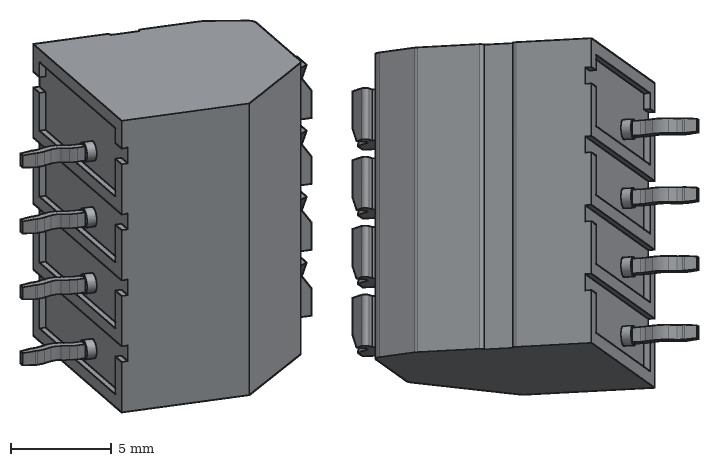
import cadquery as cq
import math

body_width = 12.0
body_depth = 11.5
body_height = 15.5
pole_count = 4
pitch = 3.5

corner_round = 0.5
left_slope_start = 9.1
left_slope_angle = 20.0
right_slope_start = 6.85
groove_round = 0.2
groove_bottom = 4.12
groove_top = 5.61

recess_depth = 0.33
rib_height = 0.68
lip_width = 0.86
cross_slot_bottom = 2.69
cross_slot_height = 0.83

latch_height = 1.6
latch_length = 2.6
latch_bottom = 0.88
latch_neck_left = 2.45
latch_right = 4.66
latch_top_left = 2.69
hook_rise = 0.51
hook_slope_angle = 15.0
hook_round = 0.22

slot_depth = 0.7
slot_floor_left = 4.5
slot_floor_width = 0.3
slot_left_run = 0.48
slot_right_run = 0.66
slot_skew_angle = 34.8

pin_x = 7.29
pin_length = 3.5
pin_thickness = 0.45
pin_width = 0.75
collar_diameter = 1.0
collar_length = 0.18
bend_radius = 1.0
bend_angle = 20.0
bend_start = 0.6
bulge_centre = 1.68
tip_length = 0.63
tip_thickness = 0.32
tip_width = 0.65


def make_housing():
    """Constant outline extruded along Z, with a groove down the left face."""
    top_left = (body_depth - left_slope_start) * math.tan(math.radians(left_slope_angle))
    top_right = body_width - (body_depth - right_slope_start)
    housing = (
        cq.Workplane("XY")
        .polyline([
            (0, 0),
            (body_width, 0),
            (body_width, right_slope_start),
            (top_right, body_depth),
            (top_left, body_depth),
            (0, left_slope_start),
        ])
        .close()
        .extrude(body_height)
    )
    for x, y in [(top_right, body_depth), (top_left, body_depth), (0, left_slope_start)]:
        edge = cq.selectors.NearestToPointSelector((x, y, body_height / 2))
        housing = housing.edges("|Z").edges(edge).fillet(corner_round)
    lower_edge = groove_bottom - groove_round
    upper_edge = groove_top + groove_round
    mid_depth = groove_round * (1 - math.sqrt(0.5))
    mid_rise = groove_round * math.sqrt(0.5)
    groove = (
        cq.Workplane("XY")
        .moveTo(0, lower_edge)
        .threePointArc((mid_depth, lower_edge + mid_rise), (groove_round, groove_bottom))
        .lineTo(groove_round, groove_top)
        .threePointArc((mid_depth, upper_edge - mid_rise), (0, upper_edge))
        .close()
        .extrude(body_height)
    )
    return housing.cut(groove)


def box(x_size, y_size, z_size, corner):
    """Block with its lowest corner at the given point."""
    return cq.Workplane("XY").box(x_size, y_size, z_size, centered=False).translate(corner)


def make_recess(pole):
    """Pocket between the side lips, joined to a slot across the full width."""
    base = pole * pitch
    if pole == pole_count - 1:
        top = body_height - rib_height
    else:
        top = base + pitch
    floor = base + rib_height
    pocket = box(body_width - 2 * lip_width, recess_depth, top - floor, (lip_width, 0, floor))
    slot = box(body_width, recess_depth, cross_slot_height, (0, 0, base + cross_slot_bottom))
    return pocket.union(slot)


def make_screwdriver_slot():
    """Flared slot that runs askew, reaching furthest right at the upper end of the latch."""
    back = body_depth + latch_height
    floor = back - slot_depth
    floor_right = slot_floor_left + slot_floor_width
    skew = latch_length * math.tan(math.radians(slot_skew_angle))
    outline = [
        (slot_floor_left, floor),
        (floor_right, floor),
        (floor_right + slot_right_run, back),
        (slot_floor_left - slot_left_run, back),
    ]
    lower_outline = [(x - skew, y) for x, y in outline]
    return (
        cq.Workplane("XY")
        .polyline(lower_outline)
        .close()
        .workplane(offset=latch_length)
        .polyline(outline)
        .close()
        .loft(ruled=True)
    )


def make_latch(pole):
    """Button with a 45 degree hooked front and a screwdriver slot."""
    back = body_depth + latch_height
    neck_top = body_depth + hook_rise
    hook_slope = math.tan(math.radians(hook_slope_angle))
    fall = (back - neck_top + hook_slope * (latch_top_left - latch_neck_left)) / (1 + hook_slope)
    tip = (latch_top_left - fall, back - fall)
    latch = (
        cq.Workplane("XY")
        .polyline([
            (latch_neck_left, body_depth),
            (latch_right, body_depth),
            (latch_right, back),
            (latch_top_left, back),
            tip,
            (latch_neck_left, neck_top),
        ])
        .close()
        .extrude(latch_length)
    )
    tip_edge = cq.selectors.NearestToPointSelector((*tip, latch_length / 2))
    latch = latch.edges("|Z").edges(tip_edge).fillet(hook_round)
    latch = latch.cut(make_screwdriver_slot())
    return latch.translate((0, 0, pole * pitch + latch_bottom))


def make_pin(pole):
    """Flat pin with a round collar, a sideways bulge and a tapered tip."""
    angle = math.radians(bend_angle)
    bend_drop = bend_radius * math.sin(angle)
    bend_shift = bend_radius * (1 - math.cos(angle))
    ramp_start = -bend_start - bend_drop
    ramp_end = -bulge_centre + bend_drop
    ramp_shift = (ramp_start - ramp_end) * math.tan(angle)
    tip_start = tip_length - pin_length
    mirror = -2 * bulge_centre
    bulge_left = -bend_shift - ramp_shift
    path = (
        cq.Workplane("XY")
        .moveTo(0, recess_depth)
        .lineTo(0, -bend_start)
        .tangentArcPoint((-bend_shift, ramp_start), relative=False)
        .lineTo(bulge_left, ramp_end)
        .tangentArcPoint((bulge_left, mirror - ramp_end), relative=False)
        .lineTo(-bend_shift, mirror - ramp_start)
        .tangentArcPoint((0, mirror + bend_start), relative=False)
        .lineTo(0, tip_start)
    )
    section = cq.Workplane("XZ", origin=(0, recess_depth, 0)).rect(pin_thickness, pin_width)
    strip = section.sweep(path)
    tip = (
        cq.Workplane("XZ", origin=(0, tip_start, 0))
        .rect(pin_thickness, pin_width)
        .workplane(offset=tip_length)
        .rect(tip_thickness, tip_width)
        .loft()
    )
    collar = (
        cq.Workplane("XZ", origin=(0, recess_depth, 0))
        .circle(collar_diameter / 2)
        .extrude(recess_depth + collar_length)
    )
    return strip.union(tip).union(collar).translate((pin_x, 0, (pole + 0.5) * pitch))


result = make_housing()
for pole in range(pole_count):
    result = result.cut(make_recess(pole))
    result = result.union(make_latch(pole))
    result = result.union(make_pin(pole))